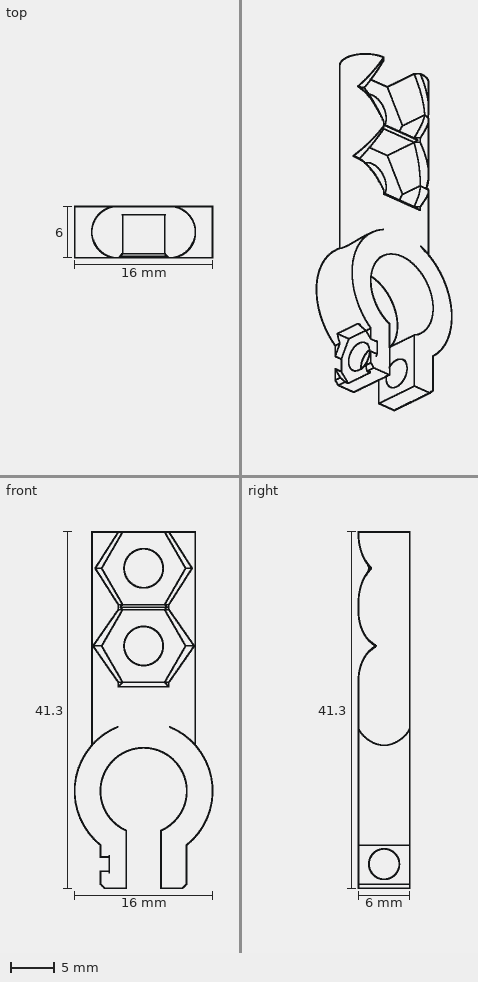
import cadquery as cq
import math

height = 41.25
thickness = 6.0
ring_diameter = 16.0
bore_diameter = 10.0
ring_z = 11.25

slot_width = 4.0
legs_width = bore_diameter
leg_chamfer = 0.5
clamp_hole_diameter = 3.5
clamp_hole_z = 2.8
leg_nut_depth = 1.0
leg_nut_flats = thickness

bar_width = 12.0
bar_hole_diameter = 4.5
nut_flats = 8.4
nut_floor = 1.0
nut_pitch = 9.0

flat_bevel = 0.5
upper_corner_x = 5.6
upper_corner_bevel_depth = 0.6
lower_corner_x = 5.85
lower_corner_bevel_depth = 1.4
bevel_steps = 5

upper_nut_z = height - nut_flats / 2
lower_nut_z = upper_nut_z - nut_pitch
front_y = -thickness / 2
nut_floor_y = thickness / 2 - nut_floor
nut_side = nut_flats * math.tan(math.pi / 6)
leg_side_x = -legs_width / 2


def across_corners(flats):
    return flats / math.cos(math.pi / 6)


def cylinder_along_y(diameter, z):
    return cq.Workplane("XZ").center(0, z).circle(diameter / 2).extrude(thickness / 2, both=True)


def make_bar():
    """Upright bar with fully rounded sides, starting at the ring centre."""
    return (
        cq.Workplane("XY", origin=(0, 0, ring_z))
        .slot2D(bar_width, thickness)
        .extrude(height - ring_z)
    )


def make_nut_pocket(z):
    """Hexagonal pocket open to the front, with flats at top and bottom."""
    return (
        cq.Workplane("XZ", origin=(0, nut_floor_y, z))
        .polygon(6, across_corners(nut_flats))
        .extrude(thickness)
    )


def make_flat_bevels(z):
    """Frustum that bevels the top and bottom flats of a nut pocket."""
    return (
        cq.Workplane("XZ", origin=(0, front_y + flat_bevel, z))
        .rect(nut_side, nut_flats)
        .workplane(offset=flat_bevel)
        .rect(nut_side + 2 * flat_bevel, nut_flats + 2 * flat_bevel)
        .loft(ruled=True)
    )


def surface_y(x):
    """Y of the bar's front surface at a given X, flat in the middle and round at the sides."""
    radius = thickness / 2
    past_flat = max(0, x - (bar_width / 2 - radius))
    return -math.sqrt(radius**2 - past_flat**2)


def make_corner_bevels(z, corner_x, corner_bevel_depth):
    """Ruled wedges along the four sloping walls, widening towards the side corners."""
    wedge = cq.Workplane("XY")
    for step in range(bevel_steps + 1):
        fraction = step / bevel_steps
        wall_x = nut_side * (1 - fraction / 2)
        outer_x = corner_x + fraction * (nut_side / 2 + flat_bevel - corner_x)
        depth = corner_bevel_depth + fraction * (flat_bevel - corner_bevel_depth)
        section = [
            (wall_x, surface_y(wall_x) + depth),
            (outer_x, surface_y(outer_x)),
            (outer_x, -thickness),
            (wall_x, -thickness),
        ]
        if step > 0:
            wedge = wedge.workplane(offset=nut_flats / 2 / bevel_steps)
        wedge = wedge.polyline(section).close()
    wedge = wedge.loft(ruled=True)
    side = wedge.union(wedge.mirror("XY"))
    return side.union(side.mirror("YZ")).translate((0, 0, z))


def make_legs():
    return (
        cq.Workplane("XY")
        .box(legs_width, thickness, ring_z, centered=(True, True, False))
        .faces("<Z")
        .edges("|Y")
        .chamfer(leg_chamfer)
    )


def make_leg_nut_pocket():
    """Hexagonal recess in the left leg, also clearing the ring beside it, with flats at top and bottom."""
    return (
        cq.Workplane("YZ", origin=(-ring_diameter / 2, 0, clamp_hole_z))
        .polygon(6, across_corners(leg_nut_flats))
        .extrude(ring_diameter / 2 + leg_side_x + leg_nut_depth)
    )


bar = make_bar()
for nut_z in (upper_nut_z, lower_nut_z):
    bar = bar.cut(make_nut_pocket(nut_z)).cut(cylinder_along_y(bar_hole_diameter, nut_z))
    bar = bar.cut(make_flat_bevels(nut_z))
bar = bar.cut(make_corner_bevels(upper_nut_z, upper_corner_x, upper_corner_bevel_depth))
bar = bar.cut(make_corner_bevels(lower_nut_z, lower_corner_x, lower_corner_bevel_depth))

slot = cq.Workplane("XY").box(slot_width, thickness, ring_z, centered=(True, True, False))
clamp_hole = (
    cq.Workplane("YZ", origin=(0, 0, clamp_hole_z))
    .circle(clamp_hole_diameter / 2)
    .extrude(legs_width, both=True)
)

result = (
    bar.union(cylinder_along_y(ring_diameter, ring_z))
    .union(make_legs())
    .cut(cylinder_along_y(bore_diameter, ring_z))
    .cut(slot)
    .cut(clamp_hole)
    .cut(make_leg_nut_pocket())
)